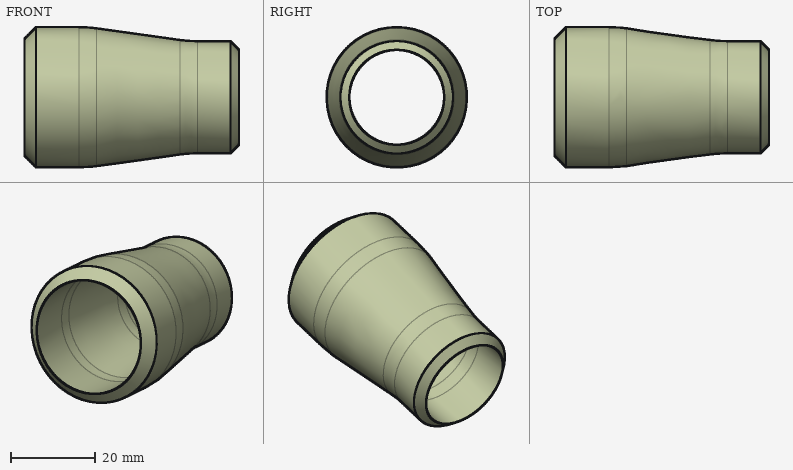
import cadquery as cq
import math

length = 51.0
large_radius = 33.4 / 2
small_radius = 26.7 / 2
large_bore_radius = 27.65 / 2
small_bore_radius = 22.45 / 2

large_end = 12.95
outer_bend_length = 4.2
bore_bend_length = 3.45
small_end = 41.1

land = 0.1
large_bevel = large_radius - large_bore_radius - land
small_bevel = small_radius - small_bore_radius - land


def add_reduction(profile, start_radius, end_radius, bend_length):
    """Draw bend, cone and reverse bend between the straight ends."""
    cone_start = large_end + bend_length
    cone_end = small_end - bend_length
    slope = (start_radius - end_radius) / (small_end - large_end - bend_length)
    angle = math.atan(slope)
    bend_radius = bend_length / math.sin(angle)
    bend_drop = bend_radius * (1 - math.cos(angle))
    middle_offset = bend_radius * math.sin(angle / 2)
    middle_drop = bend_radius * (1 - math.cos(angle / 2))
    return (
        profile.threePointArc(
            (large_end + middle_offset, start_radius - middle_drop),
            (cone_start, start_radius - bend_drop),
        )
        .lineTo(cone_end, end_radius + bend_drop)
        .threePointArc(
            (small_end - middle_offset, end_radius + middle_drop),
            (small_end, end_radius),
        )
    )


def revolve_profile(profile):
    """Close the half profile along the X axis and turn it into a solid."""
    return profile.lineTo(length, 0).close().revolve(360, (0, 0, 0), (1, 0, 0))


def make_body():
    profile = (
        cq.Workplane("XZ")
        .lineTo(0, large_radius - large_bevel)
        .lineTo(large_bevel, large_radius)
        .lineTo(large_end, large_radius)
    )
    profile = (
        add_reduction(profile, large_radius, small_radius, outer_bend_length)
        .lineTo(length - small_bevel, small_radius)
        .lineTo(length, small_radius - small_bevel)
    )
    return revolve_profile(profile)


def make_bore():
    profile = cq.Workplane("XZ").lineTo(0, large_bore_radius).lineTo(large_end, large_bore_radius)
    profile = add_reduction(profile, large_bore_radius, small_bore_radius, bore_bend_length)
    return revolve_profile(profile.lineTo(length, small_bore_radius))


result = make_body().cut(make_bore())